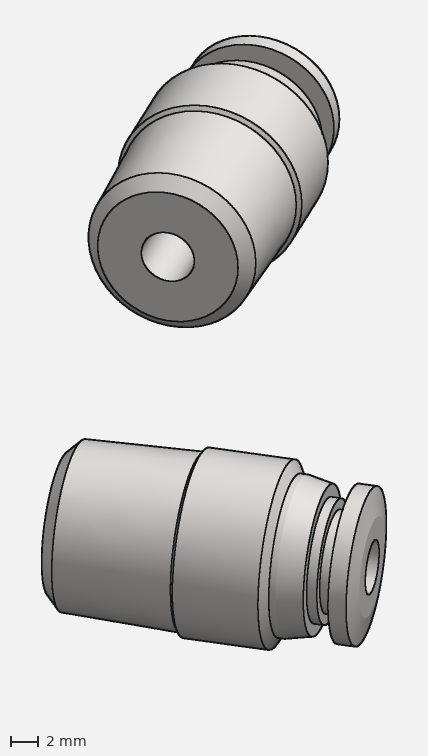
import cadquery as cq

length = 23.4
bore_radius = 2.01

tip_radius = 5.34
plug_chamfer = 1.03
plug_front_radius = 6.36
plug_back_radius = 6.65
plug_end = 10.0

body_radius = 7.0
body_front_chamfer_length = 0.23
body_back = 16.64
shoulder_back = 17.2
shoulder_radius = 6.04

collar_taper_start = 17.71
collar_back = 19.68
collar_back_radius = 5.62
step_back = 20.45
step_radius = 4.65

neck_radius = 3.84
button_front = 21.6
button_radius = 5.9
button_bevel_start = 22.95
button_face_radius = 3.72

profile = [
    (bore_radius, 0),
    (tip_radius, 0),
    (plug_front_radius, plug_chamfer),
    (plug_back_radius, plug_end),
    (body_radius, plug_end + body_front_chamfer_length),
    (body_radius, body_back),
    (shoulder_radius, shoulder_back),
    (shoulder_radius, collar_taper_start),
    (collar_back_radius, collar_back),
    (step_radius, collar_back),
    (step_radius, step_back),
    (neck_radius, step_back),
    (neck_radius, button_front),
    (button_radius, button_front),
    (button_radius, button_bevel_start),
    (button_face_radius, length),
    (bore_radius, length),
]

result = (
    cq.Workplane("XY")
    .polyline(profile)
    .close()
    .revolve(360, (0, 0, 0), (0, 1, 0))
)